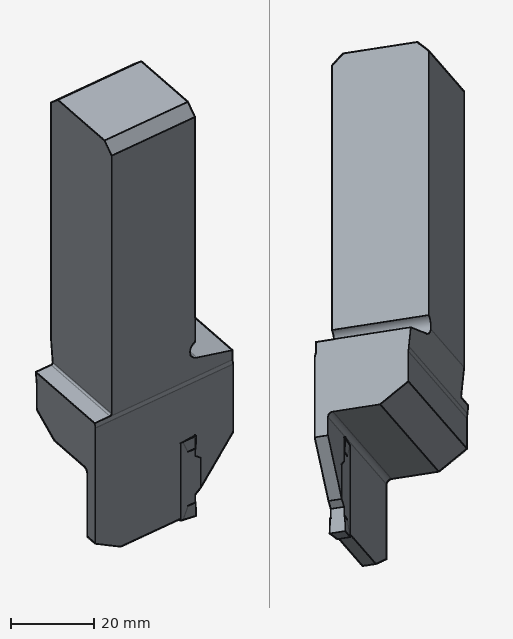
import cadquery as cq
import math


total_height = 126.8
shank_width = 24.9
shank_front = 5.1
shank_back = 29.9
top_chamfer_x = 2.9
top_chamfer_z = 2.8

head_depth = 41.1
head_left = 1.1
head_right = 25.17
ledge_z = 43.0
ledge_fillet = 0.5
right_step_z = 41.9
taper_top_z = 50.7
taper_bottom_z = 40.8
taper_bottom_x = 1.0
head_side_top_z = 39.6
shoulder_z = 26.6
shoulder_chamfer_x = 8.4
shoulder_chamfer_z = 31.6

groove_radius = 2.8
groove_y = 31.2
groove_z = 51.4
back_slope = math.radians(15)

blade_thickness = 3.4
blade_left = head_right - blade_thickness
blade_mid_x = head_right - blade_thickness / 2
blade_fillet = 1.3
blade_bottom_z = 1.0
blade_corner_y = 7.5
blade_corner_z = 5.6
blade_back_z = 20.5

insert_length = 25.0
insert_mid_z = insert_length / 2
insert_front = 25.4
rake_y = 29.8
bulge_y = 31.5
bulge_half_length = 4.63
bulge_root_half_length = 6.02
end_relief = 0.4
tip_length = 4.0
tip_front = 26.0
tip_width = 4.0
tip_back_taper = 0.1
tip_side_relief = 0.32


def make_holder_blank():
    """Intersection of the outline across X and the outline across Y."""
    x_outline = (
        cq.Workplane("XZ")
        .moveTo(top_chamfer_x, total_height)
        .lineTo(shank_width - top_chamfer_x, total_height)
        .lineTo(shank_width, total_height - top_chamfer_z)
        .lineTo(shank_width, ledge_z)
        .lineTo(head_right, right_step_z)
        .lineTo(head_right, 0)
        .lineTo(blade_left, 0)
        .lineTo(blade_left, shoulder_z - blade_fillet)
        .radiusArc((blade_left - blade_fillet, shoulder_z), -blade_fillet)
        .lineTo(shoulder_chamfer_x, shoulder_z)
        .lineTo(head_left, shoulder_chamfer_z)
        .lineTo(head_left, head_side_top_z)
        .lineTo(taper_bottom_x, taper_bottom_z)
        .lineTo(0, taper_top_z)
        .lineTo(0, total_height - top_chamfer_z)
        .close()
        .extrude(-head_depth)
    )

    groove_start_z = groove_z + math.sqrt(groove_radius**2 - (groove_y - shank_back) ** 2)
    groove_end_y = groove_y - groove_radius * math.sin(back_slope)
    groove_end_z = groove_z - groove_radius * math.cos(back_slope)
    back_top_z = groove_end_z - (head_depth - groove_end_y) * math.tan(back_slope)
    bulge_root_z = insert_mid_z - bulge_root_half_length
    y_outline = (
        cq.Workplane("YZ")
        .moveTo(shank_front, total_height)
        .lineTo(shank_back, total_height)
        .lineTo(shank_back, groove_start_z)
        .threePointArc((groove_y - groove_radius, groove_z), (groove_end_y, groove_end_z))
        .lineTo(head_depth, back_top_z)
        .lineTo(head_depth, blade_back_z)
        .lineTo(bulge_y, insert_mid_z - bulge_half_length)
        .lineTo(rake_y, bulge_root_z)
        .lineTo(insert_front, bulge_root_z)
        .lineTo(insert_front, blade_bottom_z)
        .lineTo(blade_corner_y, blade_bottom_z)
        .lineTo(0, blade_corner_z)
        .lineTo(0, ledge_z)
        .lineTo(shank_front - ledge_fillet, ledge_z)
        .radiusArc((shank_front, ledge_z + ledge_fillet), -ledge_fillet)
        .close()
        .extrude(head_right)
    )
    return x_outline.intersect(y_outline)


def make_insert_body():
    """Flat insert body, flush with both faces of the blade."""
    return (
        cq.Workplane("YZ", origin=(blade_left, 0, 0))
        .moveTo(insert_front, end_relief)
        .lineTo(rake_y, 0)
        .lineTo(rake_y, insert_mid_z - bulge_root_half_length)
        .lineTo(bulge_y, insert_mid_z - bulge_half_length)
        .lineTo(bulge_y, insert_mid_z + bulge_half_length)
        .lineTo(rake_y, insert_mid_z + bulge_root_half_length)
        .lineTo(rake_y, insert_length)
        .lineTo(insert_front, insert_length - end_relief)
        .close()
        .extrude(blade_thickness)
    )


def tip_section(y, cutting_width, end_z):
    """Tip cross-section at depth y, narrowing away from the cutting edge."""
    edge = cutting_width / 2
    inner = edge - tip_back_taper
    corners = [(-edge, end_z), (edge, end_z), (inner, tip_length), (-inner, tip_length)]
    return cq.Wire.makePolygon([cq.Vector(blade_mid_x + x, y, z) for x, z in corners], close=True)


def make_lower_tip():
    """Cutting tip, widest at its rake face and relieved towards the front."""
    relieved_width = tip_width - 2 * tip_side_relief
    relieved_end_z = end_relief * (rake_y - tip_front) / (rake_y - insert_front)
    rake_section = tip_section(rake_y, tip_width, 0)
    relieved_section = tip_section(tip_front, relieved_width, relieved_end_z)
    return cq.Workplane(obj=cq.Solid.makeLoft([rake_section, relieved_section], True))


def make_insert(insert_body):
    lower_tip = make_lower_tip()
    upper_tip = lower_tip.mirror("XY", (0, 0, insert_mid_z))
    return insert_body.union(lower_tip).union(upper_tip)


insert_body = make_insert_body()
holder = make_holder_blank().cut(insert_body)
insert = make_insert(insert_body)

result = cq.Compound.makeCompound([holder.solids().val(), insert.solids().val()])